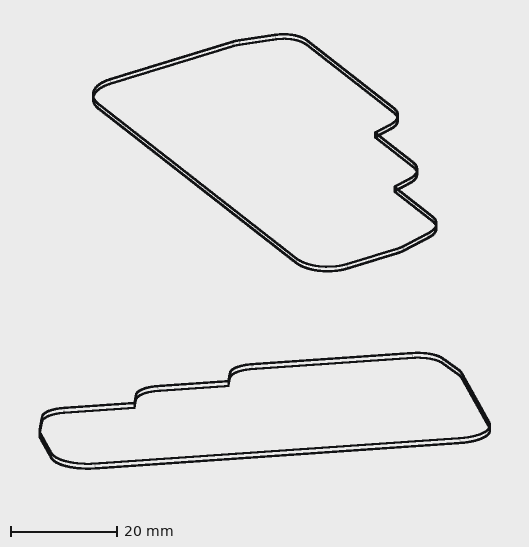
import cadquery as cq
import math

LENGTH = 84.05
WIDTH = 46.3
THICKNESS = 1.0

STEP_DROP = 8.0
STEP_PITCH = 19.6
STEP_COUNT = 3
SLANT_ANGLE = 15.0
SLANT_DEPTH = 11.4

FRONT_RADIUS = 7.0
SHELF_RADIUS = 5.2
SIDE_BLEND_RADIUS = 5.0

slant_slope = math.tan(math.radians(SLANT_ANGLE))
slant_run = SLANT_DEPTH * slant_slope
last_shelf = STEP_COUNT - 1


def shelf_y(index):
    return WIDTH - index * STEP_DROP


def shelf_end_x(index):
    """Sharp right-hand corner of a shelf, before rounding."""
    return LENGTH - slant_run - (last_shelf - index) * STEP_PITCH


def sharp_outline():
    """Corner points of the plate, clockwise from the front left, each with its radius."""
    corners = [
        (0, 0, FRONT_RADIUS),
        (0, WIDTH - SLANT_DEPTH, SIDE_BLEND_RADIUS),
        (slant_run, WIDTH, SHELF_RADIUS),
    ]
    for index in range(STEP_COUNT):
        corners.append((shelf_end_x(index), shelf_y(index), SHELF_RADIUS))
        if index < last_shelf:
            notch_x = shelf_end_x(index) + STEP_DROP * slant_slope
            corners.append((notch_x, shelf_y(index + 1), 0))
    corners.append((LENGTH, shelf_y(last_shelf) - SLANT_DEPTH, SIDE_BLEND_RADIUS))
    corners.append((LENGTH, 0, FRONT_RADIUS))
    return corners


def make_plate():
    corners = sharp_outline()
    points = [(x, y) for x, y, _ in corners]
    plate = cq.Workplane("XY").polyline(points).close().extrude(THICKNESS)
    for x, y, radius in corners:
        if radius > 0:
            corner_edge = cq.selectors.NearestToPointSelector((x, y, THICKNESS / 2))
            plate = plate.edges("|Z").edges(corner_edge).fillet(radius)
    return plate


result = make_plate()